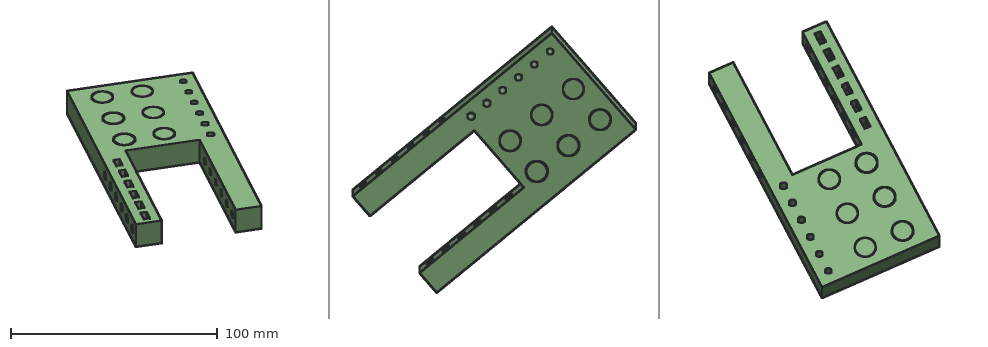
import math

import cadquery as cq

length = 126.0
width = 63.0
thickness = 13.0
arm_width = 13.0
arm_length = 66.0

row_count = 6
row_span = 50.0
pitch = row_span / (row_count - 1)
hole_step = 0.1
edge_inset = arm_width / 2

smallest_screw_hole = 3.0
clearance_hole = 4.0

smallest_nut_flats = 5.4
nut_flats_step = 0.1
nut_slot_thickness = 3.0

pin_columns = 3
pin_rows = 2
pin_pitch = 2 * pitch
pin_first_x = pitch
pin_first_y = 1.5 * pitch
pin_diameter = 10.0
smallest_pin_hole = 10.2

head_length = length - arm_length
mid_height = thickness / 2
near_row_y = edge_inset
far_row_y = width - edge_inset
arm_first_x = length - edge_inset - row_span


def vertical_cylinder(x, y, diameter):
    """Cylinder over the full plate thickness."""
    return cq.Workplane("XY").center(x, y).circle(diameter / 2).extrude(thickness)


def arm_cylinder(x, start_y, diameter):
    """Cylinder along Y through one arm, at mid height."""
    profile = cq.Workplane("XZ", origin=(x, start_y, mid_height)).circle(diameter / 2)
    return profile.extrude(-arm_width)


def nut_slot(x, flats):
    """Pocket for a nut standing on one corner, slid in from the top face."""
    half_flats = flats / 2
    corner_drop = flats / math.sqrt(3)
    outline = [
        (-half_flats, mid_height),
        (-half_flats, -corner_drop / 2),
        (0, -corner_drop),
        (half_flats, -corner_drop / 2),
        (half_flats, mid_height),
    ]
    profile = cq.Workplane("XZ", origin=(x, near_row_y, mid_height)).polyline(outline).close()
    return profile.extrude(nut_slot_thickness / 2, both=True)


def pin_places():
    """Pin centres along +X in each row, the row with the larger Y first."""
    return [
        (pin_first_x + column * pin_pitch, pin_first_y + row * pin_pitch)
        for row in reversed(range(pin_rows))
        for column in range(pin_columns)
    ]


def make_plate():
    """Forked plate with all its holes and slots."""
    plate = cq.Workplane("XY").box(length, width, thickness, centered=False)

    opening = cq.Workplane("XY").box(arm_length, width - 2 * arm_width, thickness, centered=False)
    plate = plate.cut(opening.translate((head_length, arm_width, 0)))

    for index in range(row_count):
        head_x = edge_inset + index * pitch
        arm_x = arm_first_x + index * pitch
        screw_hole = smallest_screw_hole + index * hole_step
        plate = plate.cut(vertical_cylinder(head_x, far_row_y, screw_hole))
        plate = plate.cut(arm_cylinder(arm_x, 0, clearance_hole))
        plate = plate.cut(arm_cylinder(arm_x, width - arm_width, screw_hole))
        plate = plate.cut(nut_slot(arm_x, smallest_nut_flats + index * nut_flats_step))

    for index, (x, y) in enumerate(pin_places()):
        plate = plate.cut(vertical_cylinder(x, y, smallest_pin_hole + index * hole_step))
    return plate


def make_pin(x, y):
    """Loose pin, flush with both faces of the plate."""
    return vertical_cylinder(x, y, pin_diameter)


plate = make_plate()
pins = [make_pin(x, y) for x, y in pin_places()]

result = cq.Compound.makeCompound([plate.val(), *[pin.val() for pin in pins]])